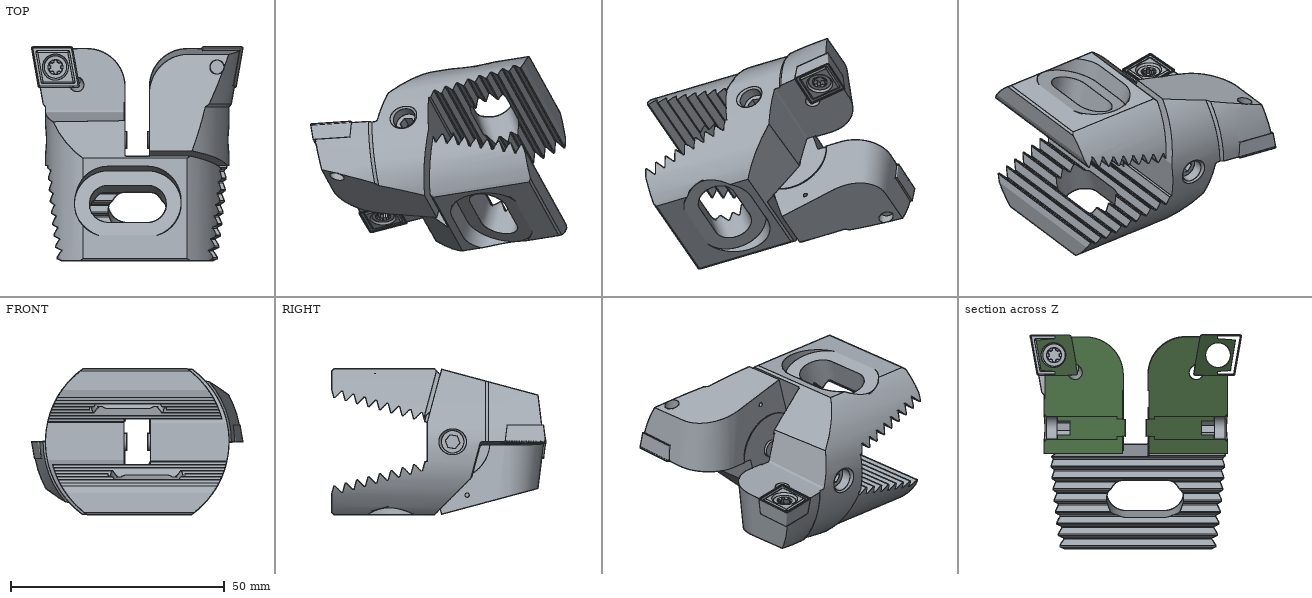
import cadquery as cq
import math



def tan_deg(angle):
    return math.tan(math.radians(angle))


def sin_deg(angle):
    return math.sin(math.radians(angle))


def cos_deg(angle):
    return math.cos(math.radians(angle))


HALF_HEIGHT = 17.1
SHIFT_X = -0.5
BODY_RADIUS = 21.0
INNER_FACE_X = -2.84
WEDGE_ANGLE = 15.0
REACH = 60.0

COLLAR_START_Y = 36.0
COLLAR_END_Y = 36.7
CONE_START_RADIUS = 21.55
CONE_ANGLE = 10.0
HEAD_FRONT_Y = 49.65
CLEARANCE_ANGLE = 7.0
HEAD_CORNER_RADIUS = 9.0
HEAD_BACK_Z = -17.0

BLOCK_BACK_Y = 22.3
BLOCK_BEND_Z = -4.3
WALL_FOOT_RADIUS = 0.5
WALL_FOOT_Y = 34.8
RAMP_TOP_Y = 24.0
RAMP_FOOT_Z = 5.0

JAW_FRONT_Y = 24.65
JAW_CHAMFER = 0.5
GAP_CORNER_RADIUS = 0.4
TOOTH_COUNT = 9
TOOTH_PITCH = 2.76
TOOTH_FLAT = 0.3
TOOTH_DEPTH = (TOOTH_PITCH / 2 - TOOTH_FLAT) / tan_deg(30)
FIRST_TIP_Y = 0.45
FIRST_TIP_Z = 10.4

SLOT_X = -2.2
SLOT_Y = 13.33
SLOT_Z = 15.12
SLOT_CENTRES = 9.0
SLOT_WIDTH = 9.0
SLOT_BORE_WIDTH = 16.0

SET_SCREW_Y = 28.3
SET_SCREW_DIAMETER = 5.25
SET_SCREW_CHAMFER_DIAMETER = 6.5
SET_SCREW_OUTER_X = -18.4
SET_SCREW_TIP_X = -2.4
SET_SCREW_POINT_DIAMETER = 4.0
SET_SCREW_POINT_LENGTH = 2.0
HEX_ACROSS_FLATS = 3.0
HEX_DEPTH = 3.0
HEX_TURN = 10.0
RECESS_DIAMETER = 17.5
RECESS_DEPTH = 0.25

COOLANT_DIAMETER = 1.0
COOLANT_DEPTH = 5.0
COOLANT_Y = 31.7
COOLANT_Z = -12.5

TIP_X = -24.83
TIP_Y = 50.1
RAKE_ANGLE = 2.5
RAKE_FACE_DROP = 0.15
INSCRIBED_DIAMETER = 9.525
INSERT_THICKNESS = 3.97
INSERT_CORNER_ANGLE = 80.0
NOSE_RADIUS = 0.4
NOSE_FOOT_RADIUS = 0.02
INSERT_HOLE_DIAMETER = 4.4
INSERT_SINK_DIAMETER = 6.1
INSERT_SINK_DEPTH = 1.0
RIM_WIDTH = 0.3
GROOVE_WIDTH = 1.0
GROOVE_DEPTH = 0.25
RELIEF_DIAMETER = 3.3
RELIEF_TILT = 20.0
RELIEF_DEPTH = 4.0
RELIEF_SETBACK = 0.95

SCREW_HEAD_DIAMETER = 5.25
SCREW_SHANK_DIAMETER = 3.3
SCREW_END_DEPTH = 10.0
STAR_CORE_RADIUS = 1.2
STAR_LOBE_RADIUS = 0.4
STAR_LOBE_CENTRE = 1.3
STAR_LOBES = 6
STAR_DEPTH = 1.5
STAR_SINK_DIAMETER = 3.5

SEAT = cq.Plane(
    origin=(TIP_X, TIP_Y, 0),
    xDir=(cos_deg(RAKE_ANGLE), 0, sin_deg(RAKE_ANGLE)),
    normal=(-sin_deg(RAKE_ANGLE), 0, cos_deg(RAKE_ANGLE)),
)
INSERT_SIDE = INSCRIBED_DIAMETER / sin_deg(INSERT_CORNER_ANGLE)
SIDE_STEP_X = INSERT_SIDE * cos_deg(INSERT_CORNER_ANGLE)
INSERT_CENTRE = ((INSERT_SIDE + SIDE_STEP_X) / 2, -INSCRIBED_DIAMETER / 2)

WEDGE_NORMAL = (0, sin_deg(WEDGE_ANGLE), cos_deg(WEDGE_ANGLE))


def prism_along_x(points, x_start, x_end):
    """Extrude an outline of (y, z) points from x_start to x_end."""
    outline = cq.Workplane("YZ", origin=(x_start, 0, 0)).polyline(points).close()
    return outline.extrude(x_end - x_start)


def cylinder_along_x(diameter, y, z, x_start, x_end):
    """Round bar parallel to X from x_start to x_end."""
    circle = cq.Workplane("YZ", origin=(x_start, y, z)).circle(diameter / 2)
    return circle.extrude(x_end - x_start)


def seat_plane(depth):
    """Workplane parallel to the rake face, centred on the insert, at a depth below its edges."""
    return cq.Workplane(SEAT).center(*INSERT_CENTRE).workplane(offset=-depth)


def rhombus(inset, radius=0):
    """Insert outline about its centre, shrunk by inset on all sides, with rounded corners."""
    size = 1 - 2 * inset / INSCRIBED_DIAMETER
    half_height = size * INSCRIBED_DIAMETER / 2
    half_side = size * INSERT_SIDE / 2
    half_step = size * SIDE_STEP_X / 2
    corners = [
        (-half_side - half_step, half_height),
        (half_side - half_step, half_height),
        (half_side + half_step, -half_height),
        (-half_side + half_step, -half_height),
    ]
    outline = cq.Sketch().polygon(corners + corners[:1])
    if radius > 0:
        outline = outline.vertices().fillet(radius)
    return outline


def insert_blank():
    """Rounded at the cutting edges, with flanks that meet almost sharply at the bottom."""
    top = rhombus(0, NOSE_RADIUS)
    bottom = rhombus(INSERT_THICKNESS * tan_deg(CLEARANCE_ANGLE), NOSE_FOOT_RADIUS)
    bottom = bottom.moved(cq.Location(cq.Vector(0, 0, -INSERT_THICKNESS)))
    return seat_plane(0).placeSketch(top, bottom).loft()


def make_insert():
    groove = seat_plane(0).placeSketch(rhombus(RIM_WIDTH)).extrude(-GROOVE_DEPTH)
    plateau = seat_plane(0).placeSketch(rhombus(RIM_WIDTH + GROOVE_WIDTH))
    groove = groove.cut(plateau.extrude(-GROOVE_DEPTH, taper=-60))
    hole = seat_plane(0).circle(INSERT_HOLE_DIAMETER / 2).extrude(-INSERT_THICKNESS)
    sink = (seat_plane(0).circle(INSERT_SINK_DIAMETER / 2)
            .workplane(offset=-INSERT_SINK_DEPTH).circle(INSERT_HOLE_DIAMETER / 2).loft())
    return insert_blank().cut(groove).cut(hole).cut(sink)


def make_insert_screw():
    head_share = (INSERT_SINK_DIAMETER - SCREW_HEAD_DIAMETER) / (INSERT_SINK_DIAMETER - INSERT_HOLE_DIAMETER)
    head_depth = INSERT_SINK_DEPTH * head_share
    head = (seat_plane(head_depth).circle(SCREW_HEAD_DIAMETER / 2)
            .workplane(offset=head_depth - INSERT_SINK_DEPTH).circle(INSERT_HOLE_DIAMETER / 2).loft())
    shank = seat_plane(INSERT_SINK_DEPTH).circle(SCREW_SHANK_DIAMETER / 2)
    shank = shank.extrude(INSERT_SINK_DEPTH - SCREW_END_DEPTH)
    socket = seat_plane(head_depth).circle(STAR_CORE_RADIUS).extrude(-STAR_DEPTH)
    lobes = (seat_plane(head_depth)
             .polarArray(STAR_LOBE_CENTRE, 90, 360, STAR_LOBES)
             .circle(STAR_LOBE_RADIUS).extrude(-STAR_DEPTH))
    star_sink_depth = (STAR_SINK_DIAMETER / 2 - STAR_CORE_RADIUS) * tan_deg(30)
    star_sink = (seat_plane(head_depth).circle(STAR_SINK_DIAMETER / 2)
                 .workplane(offset=-star_sink_depth).circle(STAR_CORE_RADIUS).loft())
    return head.union(shank).cut(socket.union(lobes)).cut(star_sink)


def make_set_screw():
    shoulder_x = SET_SCREW_TIP_X - SET_SCREW_POINT_LENGTH
    body = cylinder_along_x(SET_SCREW_DIAMETER, SET_SCREW_Y, 0, SET_SCREW_OUTER_X, shoulder_x)
    point = cylinder_along_x(SET_SCREW_POINT_DIAMETER, SET_SCREW_Y, 0, shoulder_x, SET_SCREW_TIP_X)
    hexagon = (cq.Workplane("YZ", origin=(SET_SCREW_OUTER_X, SET_SCREW_Y, 0))
               .transformed(rotate=(0, 0, HEX_TURN))
               .polygon(6, HEX_ACROSS_FLATS / cos_deg(30)).extrude(HEX_DEPTH))
    return body.union(point).cut(hexagon)


def envelope():
    """Turned outside: cylinder, collar and flaring cutting head, about the shifted axis."""
    cone_end_y = TIP_Y + 1
    cone_end_radius = CONE_START_RADIUS + (cone_end_y - COLLAR_END_Y) * tan_deg(CONE_ANGLE)
    return (cq.Workplane("XY", origin=(SHIFT_X, 0, 0))
            .polyline([
                (0, 0),
                (BODY_RADIUS, 0),
                (BODY_RADIUS, COLLAR_START_Y),
                (CONE_START_RADIUS, COLLAR_END_Y),
                (cone_end_radius, cone_end_y),
                (0, cone_end_y),
            ]).close()
            .revolve(360, (0, 0, 0), (0, 1, 0)))


def jaw():
    """Full-width jaw with its sloping row of teeth."""
    along = (cos_deg(WEDGE_ANGLE), -sin_deg(WEDGE_ANGLE))
    inward = (sin_deg(WEDGE_ANGLE), cos_deg(WEDGE_ANGLE))

    def tooth_point(distance, depth):
        return (FIRST_TIP_Y + distance * along[0] + depth * inward[0],
                FIRST_TIP_Z + distance * along[1] + depth * inward[1])

    flank = TOOTH_PITCH / 2 - TOOTH_FLAT
    teeth = [tooth_point(-flank, TOOTH_DEPTH)]
    for tooth in range(TOOTH_COUNT):
        start = tooth * TOOTH_PITCH
        teeth.append(tooth_point(start, 0))
        teeth.append(tooth_point(start + TOOTH_FLAT, 0))
        if tooth < TOOTH_COUNT - 1:
            teeth.append(tooth_point(start + TOOTH_FLAT + flank, TOOTH_DEPTH))
            teeth.append(tooth_point(start + 2 * TOOTH_FLAT + flank, TOOTH_DEPTH))
    front_foot = tooth_point(TOOTH_COUNT * TOOTH_PITCH, 0)
    outline = teeth + [
        front_foot,
        (REACH, front_foot[1]),
        (REACH, HALF_HEIGHT),
        (teeth[0][0], HALF_HEIGHT),
    ]
    body = prism_along_x(outline, -REACH, REACH)
    rear = prism_along_x([
        (-REACH, -REACH),
        (0, -REACH),
        (0, HALF_HEIGHT - JAW_CHAMFER),
        (JAW_CHAMFER, HALF_HEIGHT),
        (-REACH, HALF_HEIGHT),
    ], -REACH, REACH)
    gap_foot_y = JAW_FRONT_Y - HALF_HEIGHT * tan_deg(WEDGE_ANGLE)
    gap = prism_along_x([
        (JAW_FRONT_Y, HALF_HEIGHT),
        (gap_foot_y, 0),
        (REACH, 0),
        (REACH, HALF_HEIGHT),
    ], INNER_FACE_X, REACH)
    gap_corner = (INNER_FACE_X, (JAW_FRONT_Y + gap_foot_y) / 2, HALF_HEIGHT / 2)
    gap = gap.edges(cq.selectors.NearestToPointSelector(gap_corner)).fillet(GAP_CORNER_RADIUS)
    block_side = prism_along_x([
        (BLOCK_BACK_Y, 0),
        (REACH, 0),
        (REACH, HALF_HEIGHT),
        (BLOCK_BACK_Y, HALF_HEIGHT),
    ], -REACH, INNER_FACE_X)
    return body.cut(rear).cut(gap).cut(block_side)


def block():
    """Block and cutting head on one side of the gap, with a rounded, inclined front corner."""
    slope = tan_deg(WEDGE_ANGLE)
    head_back_y = BLOCK_BACK_Y + (BLOCK_BEND_Z - HEAD_BACK_Z) * slope
    side_view = prism_along_x([
        (BLOCK_BACK_Y, HALF_HEIGHT),
        (BLOCK_BACK_Y, BLOCK_BEND_Z),
        (head_back_y, HEAD_BACK_Z),
        (REACH, HEAD_BACK_Z + (REACH - head_back_y) * slope),
        (REACH, HALF_HEIGHT),
    ], -REACH, INNER_FACE_X)
    lean = HALF_HEIGHT * tan_deg(CLEARANCE_ANGLE)
    front_y = HEAD_FRONT_Y + lean
    arc_middle = HEAD_CORNER_RADIUS * (1 - cos_deg(45))
    plan = (cq.Workplane("XY", origin=(0, 0, HALF_HEIGHT))
            .moveTo(-REACH, 0)
            .lineTo(INNER_FACE_X, 0)
            .lineTo(INNER_FACE_X, front_y - HEAD_CORNER_RADIUS)
            .threePointArc((INNER_FACE_X - arc_middle, front_y - arc_middle),
                           (INNER_FACE_X - HEAD_CORNER_RADIUS, front_y))
            .lineTo(-REACH, front_y)
            .close().wire().val())
    inclined = cq.Solid.extrudeLinear(plan, [], cq.Vector(0, -2 * lean, -2 * HALF_HEIGHT))
    return side_view.intersect(cq.Workplane(inclined))


def rake_clearance():
    """Space above the inclined rake face, ahead of the stop wall."""
    foot = WALL_FOOT_Y - TIP_Y
    space = (cq.Workplane(cq.Plane(SEAT.origin, SEAT.yDir, SEAT.xDir))
             .polyline([
                 (foot, -RAKE_FACE_DROP),
                 (REACH, -RAKE_FACE_DROP),
                 (REACH, REACH),
                 (foot - REACH * tan_deg(WEDGE_ANGLE), REACH),
             ]).close()
             .extrude(REACH, both=True))
    foot_edge = cq.selectors.NearestToPointSelector((TIP_X, WALL_FOOT_Y, 0))
    return space.edges(foot_edge).fillet(WALL_FOOT_RADIUS)


def ramp():
    """45 degree slope from the jaw's top flat to the stop wall."""
    return prism_along_x([
        (RAMP_TOP_Y, HALF_HEIGHT),
        (RAMP_TOP_Y + HALF_HEIGHT - RAMP_FOOT_Z, RAMP_FOOT_Z),
        (REACH, RAMP_FOOT_Z),
        (REACH, REACH),
        (RAMP_TOP_Y, REACH),
    ], -REACH, REACH)


def clamping_slot():
    """Stepped slot square to the serrations."""
    floor = cq.Workplane(cq.Plane((SLOT_X, SLOT_Y, SLOT_Z), (1, 0, 0), WEDGE_NORMAL))
    counterbore = floor.slot2D(SLOT_CENTRES + SLOT_BORE_WIDTH, SLOT_BORE_WIDTH).extrude(HALF_HEIGHT)
    through = floor.slot2D(SLOT_CENTRES + SLOT_WIDTH, SLOT_WIDTH).extrude(-HALF_HEIGHT)
    return counterbore.union(through)


def set_screw_bore():
    outside_x = SHIFT_X - BODY_RADIUS
    chamfer_depth = (SET_SCREW_CHAMFER_DIAMETER - SET_SCREW_DIAMETER) / 2
    shoulder_x = SET_SCREW_TIP_X - SET_SCREW_POINT_LENGTH
    bore = cylinder_along_x(SET_SCREW_DIAMETER, SET_SCREW_Y, 0, -REACH, shoulder_x)
    point_hole = cylinder_along_x(SET_SCREW_POINT_DIAMETER, SET_SCREW_Y, 0, shoulder_x, INNER_FACE_X)
    chamfer = (cq.Workplane("YZ", origin=(outside_x, SET_SCREW_Y, 0))
               .circle(SET_SCREW_CHAMFER_DIAMETER / 2)
               .workplane(offset=chamfer_depth).circle(SET_SCREW_DIAMETER / 2).loft())
    return bore.union(chamfer).union(point_hole)


def inner_recess():
    return cylinder_along_x(RECESS_DIAMETER, SET_SCREW_Y, 0, INNER_FACE_X - RECESS_DEPTH, INNER_FACE_X)


def coolant_hole():
    end_x = INNER_FACE_X - COOLANT_DEPTH
    return cylinder_along_x(COOLANT_DIAMETER, COOLANT_Y, COOLANT_Z, end_x, INNER_FACE_X)


def insert_screw_hole():
    return seat_plane(0).circle(SCREW_SHANK_DIAMETER / 2).extrude(-REACH)


def corner_relief():
    """Drilled relief under the inner corner of the insert, leaning towards the insert centre."""
    corner_x = INSERT_SIDE + SIDE_STEP_X
    setback = RELIEF_SETBACK * cos_deg(45)
    return (cq.Workplane(SEAT)
            .center(corner_x - setback, setback - INSCRIBED_DIAMETER)
            .transformed(rotate=(0, 0, 45))
            .transformed(rotate=(RELIEF_TILT, 0, 0))
            .circle(RELIEF_DIAMETER / 2).extrude(RELIEF_DEPTH, both=True))


def make_holder():
    body = jaw().union(block()).intersect(envelope())
    body = body.cut(ramp()).cut(rake_clearance().intersect(block()))
    body = body.cut(clamping_slot())
    body = body.cut(set_screw_bore()).cut(inner_recess()).cut(coolant_hole())
    return body.cut(insert_blank()).cut(insert_screw_hole()).cut(corner_relief())


half = [make_holder(), make_insert(), make_insert_screw(), make_set_screw()]
bodies = []
for turn in (0, 180):
    for body in half:
        bodies.append(body.rotate((0, 0, 0), (0, 1, 0), turn).solids().val())

result = cq.Compound.makeCompound(bodies)